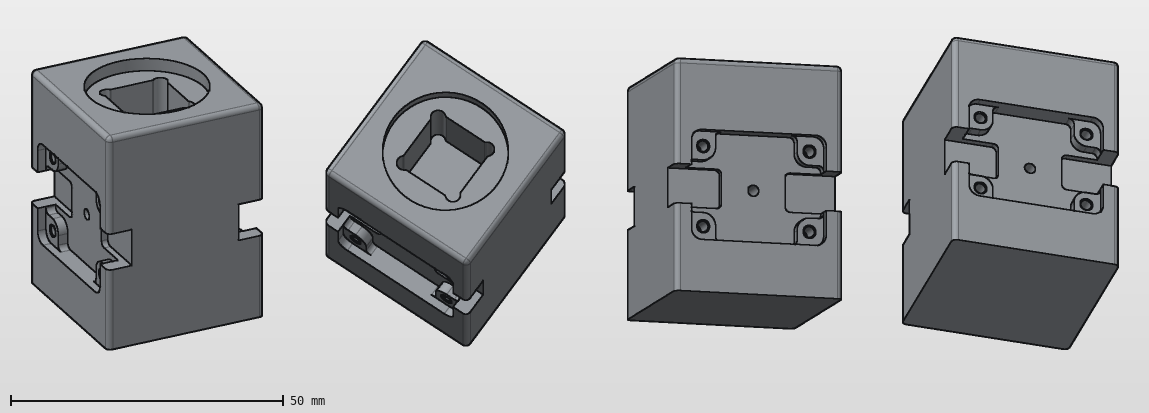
import cadquery as cq
import math

SIDE = 32.0
HEIGHT = 43.5
EDGE_RADIUS = 1.0

RECESS_DIAMETER = 23.1
RECESS_DEPTH = 2.52
SOCKET_SIDE = 12.7
SOCKET_DEPTH = SOCKET_SIDE
RELIEF_RADIUS = 1.4
RELIEF_OFFSET = 5.45
RELIEF_BLEND = 0.35

POCKET_WIDTH = 25.75
POCKET_HEIGHT = 20.55
POCKET_RADIUS = 2.05
LEDGE_DEPTH = 1.7
PAD_INNER_X = 7.8
PAD_INNER_Z = 4.9
PAD_RADIUS = 2.4
INNER_RADIUS = 1.0
SLOT_HEIGHT = 7.35
SLOT_INNER_X = 6.1
SLOT_STEP = 1.3
FRONT_POCKET_Z = 20.0
FRONT_POCKET_DEPTH = 3.65
BACK_POCKET_Z = 20.35
BACK_POCKET_DEPTH = 3.83

SCREW_DIAMETER = 2.0
SCREW_CHAMFER = 0.2
CHAMFER_ANGLE = 45
SCREW_DEPTH = 5.0
SCREW_SPACING_X = 20.3
SCREW_SPACING_Z = 14.95
CROSS_HOLE_DIAMETER = 2.05
CROSS_HOLE_Z = FRONT_POCKET_Z

TOLERANCE = 0.005


def make_block():
    block = cq.Workplane("XY").box(SIDE, SIDE, HEIGHT, centered=(True, True, False))
    return block.edges("|Z or >Z").fillet(EDGE_RADIUS)


def is_on_socket_wall(edge):
    centre = edge.Center()
    return math.isclose(max(abs(centre.x), abs(centre.y)), SOCKET_SIDE / 2, abs_tol=TOLERANCE)


def make_top_opening():
    """Round recess and the square socket with rounded corner reliefs."""
    recess_floor = HEIGHT - RECESS_DEPTH
    recess = (
        cq.Workplane("XY", origin=(0, 0, recess_floor))
        .circle(RECESS_DIAMETER / 2)
        .extrude(RECESS_DEPTH)
    )
    socket_plane = cq.Workplane("XY", origin=(0, 0, recess_floor - SOCKET_DEPTH))
    socket = socket_plane.rect(SOCKET_SIDE, SOCKET_SIDE).extrude(SOCKET_DEPTH)
    reliefs = (
        socket_plane.rect(2 * RELIEF_OFFSET, 2 * RELIEF_OFFSET, forConstruction=True)
        .vertices()
        .circle(RELIEF_RADIUS)
        .extrude(SOCKET_DEPTH)
    )
    socket = socket.union(reliefs)
    junctions = socket.edges("|Z").filter(is_on_socket_wall)
    return recess.union(junctions.fillet(RELIEF_BLEND))


def box_into_face(width, height, depth):
    """Box entering the front face by the given depth, centred on X = 0 and Z = 0."""
    box = cq.Workplane("XY").box(width, depth, height)
    return box.translate((0, (depth - SIDE) / 2, 0))


def make_pocket_floor(depth):
    """Cross-shaped deep part of the pocket, which leaves a pad in each corner."""
    upright = box_into_face(2 * PAD_INNER_X, POCKET_HEIGHT, depth)
    crossbar = box_into_face(POCKET_WIDTH, 2 * PAD_INNER_Z, depth)
    cross = upright.union(crossbar)
    pad_corners = cq.selectors.BoxSelector(
        (-PAD_INNER_X - TOLERANCE, -SIDE, -PAD_INNER_Z - TOLERANCE),
        (PAD_INNER_X + TOLERANCE, SIDE, PAD_INNER_Z + TOLERANCE),
    )
    cross = cross.edges("|Y").edges(pad_corners).fillet(PAD_RADIUS)
    cross_ends = cross.edges("|Y").edges("<X or >X or <Z or >Z")
    return cross_ends.fillet(INNER_RADIUS)


def make_slots(depth):
    """Two slots from the pocket out through the left and right sides."""
    length = SIDE / 2 - SLOT_INNER_X
    slot = box_into_face(length, SLOT_HEIGHT, depth).edges("|Y and <X").fillet(INNER_RADIUS)
    right_slot = slot.translate((SLOT_INNER_X + length / 2, 0, 0))
    return right_slot.union(right_slot.mirror("YZ"))


def make_screw_holes():
    """Chamfered blind holes going into the pads."""
    pad_face = cq.Workplane("XZ", origin=(0, LEDGE_DEPTH - SIDE / 2, 0))
    centres = pad_face.rect(SCREW_SPACING_X, SCREW_SPACING_Z, forConstruction=True).vertices()
    holes = centres.circle(SCREW_DIAMETER / 2).extrude(-SCREW_DEPTH)
    mouths = centres.circle(SCREW_DIAMETER / 2 + SCREW_CHAMFER).extrude(-SCREW_CHAMFER, taper=CHAMFER_ANGLE)
    return holes.union(mouths)


def make_side_pocket(floor_depth):
    """Everything removed from the front face, with the pocket centred on Z = 0."""
    ledge = box_into_face(POCKET_WIDTH, POCKET_HEIGHT, LEDGE_DEPTH)
    ledge = ledge.edges("|Y").fillet(POCKET_RADIUS)
    return (
        ledge.union(make_pocket_floor(floor_depth))
        .union(make_slots(floor_depth + SLOT_STEP))
        .union(make_screw_holes())
    )


def make_cross_hole():
    plane = cq.Workplane("XZ", origin=(0, 0, CROSS_HOLE_Z))
    return plane.circle(CROSS_HOLE_DIAMETER / 2).extrude(SIDE / 2, both=True)


front_pocket = make_side_pocket(FRONT_POCKET_DEPTH).translate((0, 0, FRONT_POCKET_Z))
back_pocket = make_side_pocket(BACK_POCKET_DEPTH).mirror("XZ").translate((0, 0, BACK_POCKET_Z))

result = (
    make_block()
    .cut(make_top_opening())
    .cut(front_pocket)
    .cut(back_pocket)
    .cut(make_cross_hole())
)